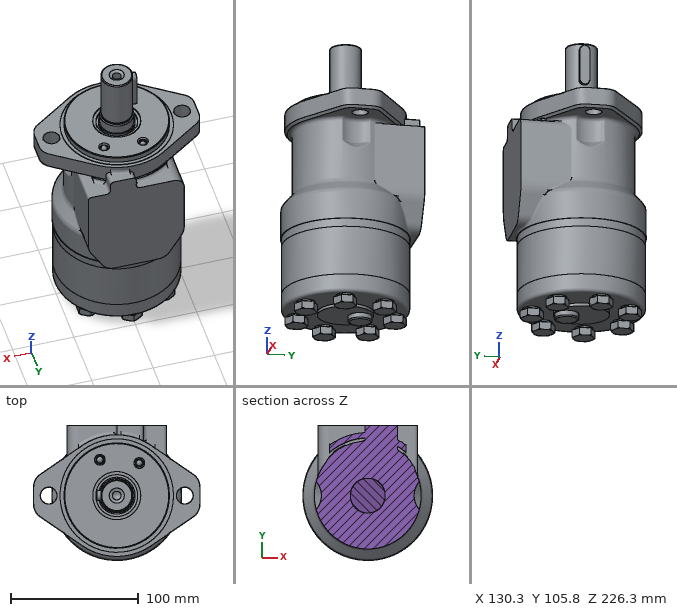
import cadquery as cq
import math


FLANGE_LENGTH = 130.3
FLANGE_DISC_R = 47.6
FLANGE_CORNER_R = 12.0
FLANGE_THICKNESS = 15.7
FLANGE_EDGE_CHAMFER = 2.0
MOUNT_HOLE_X = 53.2
MOUNT_HOLE_D = 13.0
PILOT_R = 41.25
PILOT_HEIGHT = 4.7
PILOT_CHAMFER = 0.6
FACE_RECESS_R = 44.4
FACE_RECESS_DEPTH = 0.4

NECK_R = 41.8
NECK_BOTTOM_Z = -68.4
BODY_R = 50.8
BODY_TOP_Z = -78.7
BODY_BOTTOM_Z = -102.8
BODY_BLEND_R = 5.5
UNDER_FLANGE_FILLET = 2.9
BARREL_R = 50.3
LIP_BOTTOM_Z = -109.5

BLOCK_FACE_Y = 105.79 - BODY_R
BLOCK_HALF_WIDTH = 39.1
BLOCK_TOP_Z = -17.8
BLOCK_SIDE_END_Z = -70.8
BLOCK_BOTTOM_Z = -101.1
BLOCK_TOP_LEFT_R = 9.0
BLOCK_TOP_RIGHT_R = 2.4
BLOCK_SLANT_ANGLE = 31.0
BLOCK_SHOULDER_R = 18.5
BLOCK_TOE_R = 12.0
BLOCK_JOINT_FILLET = 1.6
RIM_BLEND_R = 2.6

PAD_WIDTH = 21.1
PAD_TOP_Z = -5.8
PAD_BLEND_R = 3.2

CLEARANCE_R = 16.9
CLEARANCE_FLOOR_Z = -35.0
CLEARANCE_CONE_ANGLE = 47.0
CLEARANCE_ROOT_FILLET = 2.9
CLEARANCE_POINT_FILLET = 1.9
CLEARANCE_MOUTH_FILLET = 1.3

SEAL_RECESS_R = 18.8
SEAL_RECESS_DEPTH = 1.0
SEAL_GROOVE_R = 16.4
SEAL_LIP_R = 14.4
SEAL_GROOVE_DEPTH = 2.0

CHECK_VALVES = [(-13.2, 28.0, -0.2), (17.7, 25.5, 0.8)]
VALVE_MOUTH_R = 4.2
VALVE_BORE_R = 3.2
VALVE_DEPTH = 2.5
VALVE_BALL_R = 2.6

SHAFT_TOP_Z = 54.9
SHAFT_R = 12.5
SHAFT_CHAMFER = 0.8
SHAFT_NECK_R = 12.2
SHAFT_NECK_TOP_Z = 13.8
SHAFT_SHOULDER_R = 13.4
SHAFT_SHOULDER_Z = 12.5
SHAFT_SHOULDER_CHAMFER = 0.9
SHAFT_BOTTOM_Z = -60.0
KEY_WIDTH = 8.0
KEY_LENGTH = 32.0
KEY_TOP_GAP = 2.5
KEY_OUTER_X = 15.5
CENTRE_MOUTH_R = 5.9
CENTRE_MOUTH_DEPTH = 1.2
CENTRE_BORE_R = 3.4
CENTRE_BORE_DEPTH = 20.0

RING_BOTTOM_Z = -149.0
COVER_BOTTOM_Z = -163.4
COVER_FILLET = 2.7
HEAD_TOP_Z = -165.0
HEAD_BOTTOM_Z = SHAFT_TOP_Z - 226.28
BOLT_COUNT = 7
BOLT_CIRCLE_R = 39.5
HEAD_FLATS = 16.0
HEAD_CHAMFER = 0.8
COLLAR_R = 7.3
COVER_BOSS_R = 22.0
COVER_BOSS_HEIGHT = 2.4
PLUG_Y = 11.7
PLUG_R = 9.5
PLUG_BOTTOM_Z = HEAD_BOTTOM_Z + 0.8
PLUG_CHAMFER = 1.0


def cylinder(radius, z_low, z_high, x=0.0, y=0.0):
    return cq.Workplane("XY", origin=(x, y, z_low)).circle(radius).extrude(z_high - z_low)


def flange_plate():
    """Disc with two pointed ears whose straight flanks are tangent to the disc."""
    half = FLANGE_LENGTH / 2
    tangent_x = 26.9
    tangent_y = math.sqrt(FLANGE_DISC_R**2 - tangent_x**2)
    corner_y = (FLANGE_DISC_R**2 - half * tangent_x) / tangent_y
    plate = (
        cq.Workplane("XY", origin=(0, 0, -FLANGE_THICKNESS))
        .moveTo(half, -corner_y)
        .lineTo(half, corner_y)
        .lineTo(tangent_x, tangent_y)
        .threePointArc((0, FLANGE_DISC_R), (-tangent_x, tangent_y))
        .lineTo(-half, corner_y)
        .lineTo(-half, -corner_y)
        .lineTo(-tangent_x, -tangent_y)
        .threePointArc((0, -FLANGE_DISC_R), (tangent_x, -tangent_y))
        .close()
        .extrude(FLANGE_THICKNESS)
    )
    corners = cq.selectors.BoxSelector((half - 1, -half, -half), (half + 1, half, half))
    opposite = cq.selectors.BoxSelector((-half - 1, -half, -half), (-half + 1, half, half))
    plate = plate.edges("|Z").edges(corners + opposite).fillet(FLANGE_CORNER_R)
    return plate.faces("<Z").edges().chamfer(FLANGE_EDGE_CHAMFER)


def cast_body():
    """Neck, conical shoulder, wide body and the machined lip under it."""
    neck_top_z = -FLANGE_THICKNESS
    body = (
        cq.Workplane("XZ")
        .moveTo(0, neck_top_z)
        .lineTo(NECK_R + UNDER_FLANGE_FILLET, neck_top_z)
        .radiusArc((NECK_R, neck_top_z - UNDER_FLANGE_FILLET), -UNDER_FLANGE_FILLET)
        .lineTo(NECK_R, NECK_BOTTOM_Z)
        .lineTo(BODY_R, BODY_TOP_Z)
        .lineTo(BODY_R, BODY_BOTTOM_Z)
        .lineTo(BARREL_R, BODY_BOTTOM_Z)
        .lineTo(BARREL_R, LIP_BOTTOM_Z)
        .lineTo(0, LIP_BOTTOM_Z)
        .close()
        .revolve(360, (0, 0, 0), (0, 1, 0))
    )
    reach = 2 * BODY_R
    shoulder = cq.selectors.BoxSelector(
        (-reach, -reach, BODY_TOP_Z - 1), (reach, reach, NECK_BOTTOM_Z + 1)
    )
    return body.edges("%CIRCLE").edges(shoulder).fillet(BODY_BLEND_R)


def port_block():
    """Block reaching from the axis plane to the port face, with a tapering lower end."""
    slant = math.radians(BLOCK_SLANT_ANGLE)
    half = BLOCK_HALF_WIDTH
    shoulder_x = half - BLOCK_SHOULDER_R * (1 - math.cos(slant))
    shoulder_z = BLOCK_SIDE_END_Z - BLOCK_SHOULDER_R * math.sin(slant)
    toe_z = BLOCK_BOTTOM_Z + BLOCK_TOE_R * (1 - math.sin(slant))
    toe_x = shoulder_x - (shoulder_z - toe_z) * math.tan(slant)
    bottom_x = toe_x - BLOCK_TOE_R * math.cos(slant)
    return (
        cq.Workplane("XZ")
        .moveTo(-half, BLOCK_SIDE_END_Z)
        .lineTo(-half, BLOCK_TOP_Z - BLOCK_TOP_LEFT_R)
        .radiusArc((-half + BLOCK_TOP_LEFT_R, BLOCK_TOP_Z), BLOCK_TOP_LEFT_R)
        .lineTo(half - BLOCK_TOP_RIGHT_R, BLOCK_TOP_Z)
        .radiusArc((half, BLOCK_TOP_Z - BLOCK_TOP_RIGHT_R), BLOCK_TOP_RIGHT_R)
        .lineTo(half, BLOCK_SIDE_END_Z)
        .radiusArc((shoulder_x, shoulder_z), BLOCK_SHOULDER_R)
        .lineTo(toe_x, toe_z)
        .radiusArc((bottom_x, BLOCK_BOTTOM_Z), BLOCK_TOE_R)
        .lineTo(-bottom_x, BLOCK_BOTTOM_Z)
        .radiusArc((-toe_x, toe_z), BLOCK_TOE_R)
        .lineTo(-shoulder_x, shoulder_z)
        .radiusArc((-half, BLOCK_SIDE_END_Z), BLOCK_SHOULDER_R)
        .close()
        .extrude(-BLOCK_FACE_Y)
    )


def block_joint(core, z_low, z_high):
    """Stretch of the block between two levels, filleted into the core it runs into there."""
    height = z_high - z_low
    room = 2 * FLANGE_LENGTH
    stretch = cq.Workplane("XY", origin=(0, 0, z_low)).rect(room, room).extrude(height)
    joint = core.union(port_block()).intersect(stretch)
    corners = []
    for edge in joint.edges().vals():
        box = edge.BoundingBox()
        inside_block = box.ymin > 1 and box.ymax < BLOCK_FACE_Y - 0.5
        on_end_face = box.zlen < 0.01 and min(box.zmin - z_low, z_high - box.zmax) < 0.01
        if inside_block and not on_end_face:
            corners.append(edge)
    return joint.newObject(corners).fillet(BLOCK_JOINT_FILLET)


def block_joints():
    """The block filleted into the neck, the conical shoulder and the wide body."""
    rise = NECK_BOTTOM_Z - BODY_TOP_Z
    flare = (BODY_R - NECK_R) / rise
    blend_length = BODY_BLEND_R * math.tan(math.atan(flare) / 2)
    blend_rise = blend_length * math.cos(math.atan(flare))
    neck_end_z = NECK_BOTTOM_Z + blend_length
    cone_end_z = BODY_TOP_Z + blend_rise
    drum_start_z = BODY_TOP_Z - blend_length

    neck = cylinder(NECK_R, neck_end_z, -FLANGE_THICKNESS)
    drum = cylinder(BODY_R, BODY_BOTTOM_Z, drum_start_z)
    cone = cq.Workplane(
        cq.Solid.makeCone(
            NECK_R + flare * (NECK_BOTTOM_Z - cone_end_z),
            NECK_R - flare * blend_length,
            neck_end_z - cone_end_z,
            cq.Vector(0, 0, cone_end_z),
        )
    )
    return [
        block_joint(neck, neck_end_z, -FLANGE_THICKNESS),
        block_joint(cone, cone_end_z, neck_end_z),
        block_joint(drum, BODY_BOTTOM_Z, drum_start_z),
    ]


def rim_blend(z, x_min, x_max):
    """Concave fillet standing on the level z against the flange rim, between two X positions."""
    r = RIM_BLEND_R
    inner_r = FLANGE_DISC_R - r
    ring = (
        cq.Workplane("XZ")
        .moveTo(inner_r, z)
        .lineTo(FLANGE_DISC_R + r, z)
        .radiusArc((FLANGE_DISC_R, z + r), r)
        .lineTo(inner_r, z + r)
        .close()
        .revolve(360, (0, 0, 0), (0, 1, 0))
    )
    span = (
        cq.Workplane("XY", origin=((x_min + x_max) / 2, BLOCK_FACE_Y / 2, z))
        .box(x_max - x_min, BLOCK_FACE_Y, 2 * r + 1)
    )
    return ring.intersect(span)


def port_pad():
    """Pad on the block: rounded along its top edges and blended into the block at its foot."""
    r = PAD_BLEND_R
    return (
        cq.Workplane("XZ")
        .moveTo(-r, BLOCK_TOP_Z)
        .radiusArc((0, BLOCK_TOP_Z + r), -r)
        .lineTo(0, PAD_TOP_Z - r)
        .radiusArc((r, PAD_TOP_Z), r)
        .lineTo(PAD_WIDTH - r, PAD_TOP_Z)
        .radiusArc((PAD_WIDTH, PAD_TOP_Z - r), r)
        .lineTo(PAD_WIDTH, BLOCK_TOP_Z + r)
        .radiusArc((PAD_WIDTH + r, BLOCK_TOP_Z), -r)
        .close()
        .extrude(-BLOCK_FACE_Y)
    )


def mount_clearance(side):
    """Drill with a conical point, sunk under the flange beside the neck."""
    depth = CLEARANCE_R * math.tan(math.radians(CLEARANCE_CONE_ANGLE))
    drill = (
        cq.Workplane("XZ")
        .polyline([
            (0, -FLANGE_THICKNESS),
            (CLEARANCE_R, -FLANGE_THICKNESS),
            (CLEARANCE_R, CLEARANCE_FLOOR_Z),
            (0, CLEARANCE_FLOOR_Z - depth),
        ])
        .close()
        .revolve(360, (0, 0, 0), (0, 1, 0))
    )
    drill = drill.faces(">Z").edges().fillet(CLEARANCE_ROOT_FILLET)
    point_edge = cq.selectors.BoxSelector(
        (-2 * CLEARANCE_R, -2 * CLEARANCE_R, CLEARANCE_FLOOR_Z - 1),
        (2 * CLEARANCE_R, 2 * CLEARANCE_R, CLEARANCE_FLOOR_Z + 1),
    )
    drill = drill.edges("%CIRCLE").edges(point_edge).fillet(CLEARANCE_POINT_FILLET)
    return drill.translate((side * MOUNT_HOLE_X, 0, 0))


def round_clearance_mouth(housing, side):
    """Round the edge where the clearance breaks out through the neck."""
    mouth_x = side * NECK_R
    reach = CLEARANCE_R * 0.8
    mouth = cq.selectors.BoxSelector(
        (mouth_x - 3, -reach, CLEARANCE_FLOOR_Z - reach),
        (mouth_x + 3, reach, -FLANGE_THICKNESS - UNDER_FLANGE_FILLET - 1),
    )
    return housing.edges(mouth).fillet(CLEARANCE_MOUTH_FILLET)


def make_housing(shaft):
    housing = cast_body().union(port_block())
    for joint in block_joints():
        housing = housing.union(joint)
    for side in (-1, 1):
        housing = housing.cut(mount_clearance(side))
        housing = round_clearance_mouth(housing, side)
    housing = housing.union(port_pad()).union(flange_plate())
    blend_end_x = BLOCK_HALF_WIDTH - BLOCK_TOP_LEFT_R
    housing = housing.union(rim_blend(BLOCK_TOP_Z, -blend_end_x, blend_end_x))
    housing = housing.union(rim_blend(PAD_TOP_Z, PAD_BLEND_R, PAD_WIDTH - PAD_BLEND_R))

    face_recess = cylinder(FACE_RECESS_R, -FACE_RECESS_DEPTH, 0)
    pilot = cylinder(PILOT_R, -FLANGE_THICKNESS, PILOT_HEIGHT).faces(">Z").chamfer(PILOT_CHAMFER)
    housing = housing.cut(face_recess).union(pilot)

    for side in (-1, 1):
        hole_x = side * MOUNT_HOLE_X
        housing = housing.cut(cylinder(MOUNT_HOLE_D / 2, -FLANGE_THICKNESS, 0, hole_x))

    seal_floor_z = PILOT_HEIGHT - SEAL_RECESS_DEPTH
    seal_recess = cylinder(SEAL_RECESS_R, seal_floor_z, PILOT_HEIGHT)
    seal_groove = cylinder(SEAL_GROOVE_R, seal_floor_z - SEAL_GROOVE_DEPTH, seal_floor_z)
    seal_lip = cylinder(SEAL_LIP_R, seal_floor_z - SEAL_GROOVE_DEPTH, seal_floor_z)
    housing = housing.cut(seal_recess).cut(seal_groove.cut(seal_lip))

    for x, y, ball_height in CHECK_VALVES:
        mouth = cylinder(VALVE_BORE_R, PILOT_HEIGHT - VALVE_DEPTH, PILOT_HEIGHT, x, y)
        mouth = mouth.union(
            cylinder(VALVE_MOUTH_R, PILOT_HEIGHT - 1, PILOT_HEIGHT, x, y)
            .faces("<Z").chamfer(VALVE_MOUTH_R - VALVE_BORE_R - 0.01)
        )
        ball_z = PILOT_HEIGHT + ball_height - VALVE_BALL_R
        ball = cq.Workplane("XY", origin=(x, y, ball_z)).sphere(VALVE_BALL_R)
        housing = housing.cut(mouth).union(ball)
    return housing.cut(shaft)


def make_shaft():
    """Stepped output shaft with its key and the threaded centre hole in its end."""
    top = SHAFT_TOP_Z
    shaft = (
        cq.Workplane("XZ")
        .polyline([
            (0, top - CENTRE_BORE_DEPTH - CENTRE_BORE_R / 2),
            (CENTRE_BORE_R, top - CENTRE_BORE_DEPTH),
            (CENTRE_BORE_R, top - CENTRE_MOUTH_DEPTH),
            (CENTRE_MOUTH_R, top),
            (SHAFT_R - SHAFT_CHAMFER, top),
            (SHAFT_R, top - SHAFT_CHAMFER),
            (SHAFT_R, SHAFT_NECK_TOP_Z),
            (SHAFT_NECK_R, SHAFT_NECK_TOP_Z),
            (SHAFT_NECK_R, SHAFT_SHOULDER_Z),
            (SHAFT_SHOULDER_R - SHAFT_SHOULDER_CHAMFER, SHAFT_SHOULDER_Z),
            (SHAFT_SHOULDER_R, SHAFT_SHOULDER_Z - SHAFT_SHOULDER_CHAMFER),
            (SHAFT_SHOULDER_R, SHAFT_BOTTOM_Z),
            (0, SHAFT_BOTTOM_Z),
        ])
        .close()
        .revolve(360, (0, 0, 0), (0, 1, 0))
    )
    key_z = top - KEY_TOP_GAP - KEY_LENGTH / 2
    key_inner_x = SHAFT_R - 4
    key = (
        cq.Workplane("YZ", origin=(-KEY_OUTER_X, 0, key_z))
        .slot2D(KEY_LENGTH, KEY_WIDTH, 90)
        .extrude(KEY_OUTER_X - key_inner_x)
    )
    return shaft.union(key)


def make_gear_ring():
    return cylinder(BARREL_R, RING_BOTTOM_Z, LIP_BOTTOM_Z)


def hex_bolt_head():
    head = (
        cq.Workplane("XY", origin=(0, 0, HEAD_BOTTOM_Z))
        .polygon(6, HEAD_FLATS, circumscribed=True)
        .extrude(HEAD_TOP_Z - HEAD_BOTTOM_Z)
    )
    corner_r = HEAD_FLATS / math.sqrt(3)
    envelope = cylinder(corner_r, HEAD_BOTTOM_Z, HEAD_TOP_Z).faces("<Z").chamfer(HEAD_CHAMFER)
    return head.intersect(envelope).union(cylinder(COLLAR_R, HEAD_TOP_Z, COVER_BOTTOM_Z))


def make_end_cover():
    cover = cylinder(BARREL_R, COVER_BOTTOM_Z, RING_BOTTOM_Z).faces("<Z").edges().fillet(COVER_FILLET)
    cover = cover.union(cylinder(COVER_BOSS_R, COVER_BOTTOM_Z - COVER_BOSS_HEIGHT, COVER_BOTTOM_Z))
    plug = cylinder(PLUG_R, PLUG_BOTTOM_Z, COVER_BOTTOM_Z, 0, PLUG_Y).faces("<Z").chamfer(PLUG_CHAMFER)
    cover = cover.union(plug)
    for i in range(BOLT_COUNT):
        angle = math.pi / 2 + 2 * math.pi * i / BOLT_COUNT
        x = BOLT_CIRCLE_R * math.cos(angle)
        y = BOLT_CIRCLE_R * math.sin(angle)
        cover = cover.union(hex_bolt_head().translate((x, y, 0)))
    return cover


shaft = make_shaft()
housing = make_housing(shaft)
gear_ring = make_gear_ring()
end_cover = make_end_cover()

result = cq.Compound.makeCompound(
    [housing.val(), shaft.val(), gear_ring.val(), end_cover.val()]
)